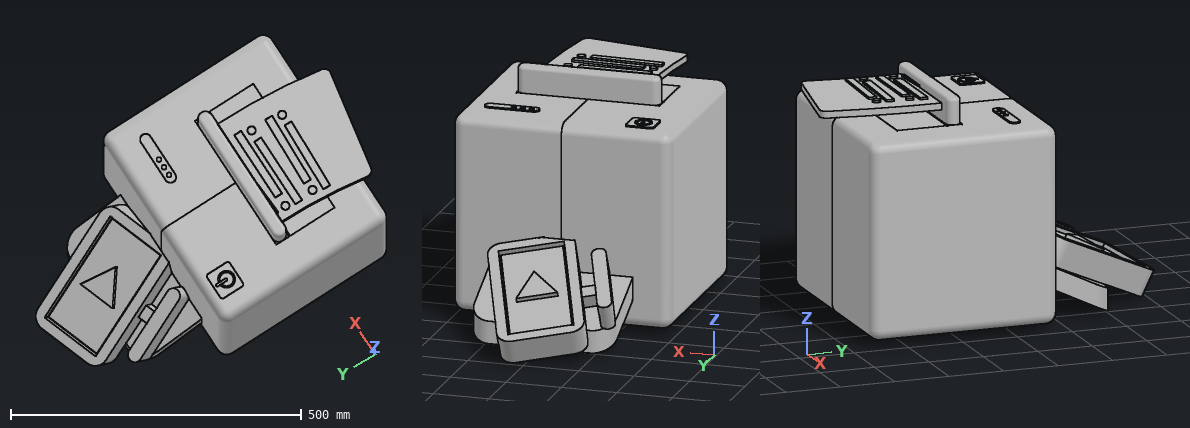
import cadquery as cq
import math

INCH = 25.4

HOUSING_WIDTH = 15.5 * INCH
HOUSING_DEPTH = 13.5 * INCH
HOUSING_HEIGHT = 14 * INCH
HOUSING_FILLET = 0.75 * INCH
REAR_Y = HOUSING_DEPTH / 2
TOP_Z = HOUSING_HEIGHT

PAD_HEIGHT = 2.5
SYMBOL_DEPTH = 1.2
POWER_PAD_SIZE = (50.2, 46.5)
POWER_PAD_CENTER = (-133.4, 127.0)
POWER_PAD_CORNER = 5.0
RING_OUTER_RADIUS = 14.8
RING_OFFSET_Y = -3.0
RING_INNER_RADIUS = 12.0
STEM_WIDTH = 4.6
STEM_BOTTOM = -1.5
STEM_TOP = 21.5
STEM_GAP = 2.0
LIGHT_PAD_LENGTH = 98.0
LIGHT_PAD_WIDTH = 19.5
LIGHT_PAD_CENTER = (108.3, 108.0)
LIGHT_RADIUS = 4.2
LIGHT_PITCH = 16.0
LIGHT_COUNT = 3
FIRST_LIGHT_X = 73.5

SLOT_WIDTH = 257.8
BAR_THICKNESS = 26.4
BAR_HEIGHT = 49.3
BAR_TOP_FILLET = 7.6
BAR_REAR_Y = 0.75 * INCH
BAR_FRONT_Y = BAR_REAR_Y - BAR_THICKNESS
INSERT_DEPTH = 0.5 * INCH

DECK_GAP = 1.9
DECK_REAR_Y = BAR_FRONT_Y - DECK_GAP
DECK_FRONT_Y = -100.5

PAPER_WIDTH = 8 * INCH
PAPER_LEFT_X = -104.7
PAPER_BEND_RADIUS = 1008.0
PAPER_BEND_ANGLE = 10.218
PAPER_THICKNESS = 12.2
PAPER_BOTTOM_Z = TOP_Z + 20.3
PAPER_CORNER = 0.5 * INCH
PRINT_HEIGHT = 3.6
LINE_LENGTH = 130.0
LINE_WIDTH = 13.8
BULLET_RADIUS = 7.1

PRINTED_ROWS = [
    ((1.0, -27.8), (-85.4, -27.8), 0.0),
    ((-27.5, -50.5), (56.9, -50.5), 0.0),
    ((-5.5, -84.7), (-87.6, -82.0), -2.0),
    ((-31.9, -107.4), (51.2, -109.4), -2.0),
]
HIDDEN_LINE_CORNER = (-88.5, -11.4)
HIDDEN_LINE_TILT = 3.0

SLOPE = 26.0
RAMP_LENGTH = 5 * INCH
RAMP_DROP = 41.0
RAMP_CORNER = 1.5 * INCH
RAMP_TOP_Z = 92.15

CARTRIDGE_X = 10.9
CARTRIDGE_DISTANCE = 100.7
CARTRIDGE_TURN = 20.0
BLOCK_WIDTH = 6 * INCH
BLOCK_LENGTH = 10 * INCH
BLOCK_THICKNESS = 2 * INCH
BLOCK_CORNER = 1 * INCH
RECESS_BORDER = 0.75 * INCH
RECESS_DEPTH = 0.6 * INCH
SCREEN_GAP = 3.1
SCREEN_THICKNESS = 0.3 * INCH
ARROW_SIDE = 72.0
ARROW_HEIGHT = 8.5
LEVER_WIDTH = 1 * INCH
LEVER_LENGTH = 6 * INCH
LINK_SIZE = 1 * INCH


def block_between(x_range, y_range, z_range):
    """Axis-aligned box given by its limits along each axis."""
    size = [high - low for low, high in (x_range, y_range, z_range)]
    corner = (x_range[0], y_range[0], z_range[0])
    return cq.Workplane("XY").box(*size, centered=False).translate(corner)


def sloped(shape):
    """Move a shape from the XY plane onto the ramp's top, which starts at the rear wall."""
    return shape.rotate((0, 0, 0), (1, 0, 0), -SLOPE).translate((0, REAR_Y, RAMP_TOP_Z))


def place_cartridge(flat_shape):
    """Move a shape from the block's own axes, centred on its underside, to its place on the ramp."""
    turned = flat_shape.rotate((0, 0, 0), (0, 0, 1), CARTRIDGE_TURN)
    return sloped(turned.translate((CARTRIDGE_X, CARTRIDGE_DISTANCE, 0)))


def make_plain_block():
    """Rounded block of the cartridge without its recess."""
    blank = cq.Workplane("XY").rect(BLOCK_WIDTH, BLOCK_LENGTH).extrude(BLOCK_THICKNESS)
    return blank.edges("|Z").fillet(BLOCK_CORNER)


def make_lever():
    """Round-ended lever beside the block and the square link that carries it."""
    lever_x = -(BLOCK_WIDTH / 2 + LINK_SIZE + LEVER_WIDTH / 2)
    lever_plan = cq.Workplane("XY").center(lever_x, 0).slot2D(LEVER_LENGTH, LEVER_WIDTH, 90)
    lever = lever_plan.extrude(BLOCK_THICKNESS)
    link = block_between(
        (lever_x, -BLOCK_WIDTH / 2),
        (-LINK_SIZE / 2, LINK_SIZE / 2),
        (0, LINK_SIZE),
    )
    return lever.union(link)


def make_screen():
    """Raised panel inside the block's recess, with an arrow that points towards the housing."""
    recess_floor = BLOCK_THICKNESS - RECESS_DEPTH
    inset = 2 * (RECESS_BORDER + SCREEN_GAP)
    panel = (
        cq.Workplane("XY")
        .workplane(offset=recess_floor)
        .rect(BLOCK_WIDTH - inset, BLOCK_LENGTH - inset)
        .extrude(SCREEN_THICKNESS)
    )
    arrow = (
        cq.Workplane("XY")
        .workplane(offset=recess_floor + SCREEN_THICKNESS)
        .polygon(3, 2 * ARROW_SIDE / math.sqrt(3))
        .extrude(ARROW_HEIGHT)
        .rotate((0, 0, 0), (0, 0, 1), -90)
    )
    return panel.union(arrow)


def make_cartridge():
    """Recessed block, screen panel, lever and link as one solid on the ramp."""
    recess_width = BLOCK_WIDTH - 2 * RECESS_BORDER
    recess_length = BLOCK_LENGTH - 2 * RECESS_BORDER
    block = make_plain_block().faces(">Z").workplane().rect(recess_width, recess_length).cutBlind(-RECESS_DEPTH)
    return place_cartridge(block.union(make_screen()).union(make_lever()))


def make_cartridge_seat():
    """Outer volume of the cartridge, which the housing's rear wall makes room for."""
    return place_cartridge(make_plain_block().union(make_lever()))


def make_ramp():
    """Sloping slab against the rear wall, with an upright end face rounded at both corners."""
    end_y = REAR_Y + RAMP_LENGTH
    fall = RAMP_LENGTH * math.tan(math.radians(SLOPE))
    profile = [
        (REAR_Y, RAMP_TOP_Z),
        (end_y, RAMP_TOP_Z - fall),
        (end_y, RAMP_TOP_Z - fall - RAMP_DROP),
        (REAR_Y, RAMP_TOP_Z - RAMP_DROP),
    ]
    ramp = cq.Workplane("YZ").polyline(profile).close().extrude(SLOT_WIDTH / 2, both=True)
    return ramp.edges("|Z and >Y").fillet(RAMP_CORNER)


def make_bar_base():
    """Rectangular base that sits flush in the housing top, across both halves."""
    half = SLOT_WIDTH / 2
    return block_between((-half, half), (BAR_FRONT_Y, BAR_REAR_Y), (TOP_Z - INSERT_DEPTH, TOP_Z))


def make_bar():
    """Round-ended bar on its flush base, with a rounded top edge."""
    bar = (
        cq.Workplane("XY")
        .workplane(offset=TOP_Z)
        .center(0, (BAR_REAR_Y + BAR_FRONT_Y) / 2)
        .slot2D(SLOT_WIDTH, BAR_THICKNESS)
        .extrude(BAR_HEIGHT)
        .faces(">Z")
        .edges()
        .fillet(BAR_TOP_FILLET)
    )
    return bar.union(make_bar_base())


def make_deck():
    """Plate that sits flush in the housing top in front of the bar."""
    half = SLOT_WIDTH / 2
    return block_between((-half, half), (DECK_FRONT_Y, DECK_REAR_Y), (TOP_Z - INSERT_DEPTH, TOP_Z))


def make_housing():
    """Whole housing with its pads and the recesses for the bar, the deck and the cartridge."""
    housing = (
        cq.Workplane("XY")
        .box(HOUSING_WIDTH, HOUSING_DEPTH, HOUSING_HEIGHT, centered=(True, True, False))
        .edges()
        .fillet(HOUSING_FILLET)
    )
    pads = [
        make_power_pad().translate((*POWER_PAD_CENTER, TOP_Z)),
        make_light_pad().translate((*LIGHT_PAD_CENTER, TOP_Z)),
    ]
    for pad in pads:
        housing = housing.union(pad)
    for seated in (make_bar_base(), make_deck(), make_cartridge_seat()):
        housing = housing.cut(seated)
    return housing


def make_power_pad():
    """Rounded pad with a sunk ring that a sunk stem breaks through; the ring is on the origin."""
    pad = cq.Workplane("XY").rect(*POWER_PAD_SIZE).extrude(PAD_HEIGHT).edges("|Z").fillet(POWER_PAD_CORNER)
    floor = cq.Workplane("XY").workplane(offset=PAD_HEIGHT - SYMBOL_DEPTH)
    ring = floor.circle(RING_OUTER_RADIUS).circle(RING_INNER_RADIUS).extrude(SYMBOL_DEPTH)
    gap_width = STEM_WIDTH + 2 * STEM_GAP
    gap = floor.center(0, RING_OUTER_RADIUS).rect(gap_width, RING_OUTER_RADIUS).extrude(SYMBOL_DEPTH)
    stem = (
        floor.center(0, (STEM_TOP + STEM_BOTTOM) / 2)
        .slot2D(STEM_TOP - STEM_BOTTOM, STEM_WIDTH, 90)
        .extrude(SYMBOL_DEPTH)
    )
    symbol = ring.cut(gap).union(stem)
    return pad.cut(symbol.translate((0, RING_OFFSET_Y, 0)))


def make_light_pad():
    """Round-ended pad with a row of sunk round lights."""
    pad = cq.Workplane("XY").slot2D(LIGHT_PAD_LENGTH, LIGHT_PAD_WIDTH).extrude(PAD_HEIGHT)
    first = FIRST_LIGHT_X - LIGHT_PAD_CENTER[0]
    places = [(first + i * LIGHT_PITCH, 0) for i in range(LIGHT_COUNT)]
    top = pad.faces(">Z").workplane(origin=(0, 0, 0))
    return top.pushPoints(places).circle(LIGHT_RADIUS).cutBlind(-SYMBOL_DEPTH)


def make_paper():
    """Bent sheet that starts at the bar's front face, with raised print on its top."""
    axis_x = PAPER_LEFT_X - PAPER_BEND_RADIUS
    outer_radius = PAPER_BEND_RADIUS + PAPER_WIDTH

    def on_bend(radius, share):
        angle = math.radians(PAPER_BEND_ANGLE * share)
        return (axis_x + radius * math.cos(angle), BAR_FRONT_Y - radius * math.sin(angle))

    sheet = (
        cq.Workplane("XY")
        .workplane(offset=PAPER_BOTTOM_Z)
        .moveTo(*on_bend(PAPER_BEND_RADIUS, 0))
        .lineTo(*on_bend(outer_radius, 0))
        .threePointArc(on_bend(outer_radius, 0.5), on_bend(outer_radius, 1))
        .lineTo(*on_bend(PAPER_BEND_RADIUS, 1))
        .threePointArc(on_bend(PAPER_BEND_RADIUS, 0.5), on_bend(PAPER_BEND_RADIUS, 0))
        .close()
        .extrude(PAPER_THICKNESS)
    )
    sheet = sheet.edges("|Z and (not >Y)").fillet(PAPER_CORNER)

    surface = cq.Workplane("XY").workplane(offset=PAPER_BOTTOM_Z + PAPER_THICKNESS)
    line = surface.rect(LINE_LENGTH, LINE_WIDTH).extrude(PRINT_HEIGHT)
    bullet = surface.circle(BULLET_RADIUS).extrude(PRINT_HEIGHT)
    for line_center, bullet_center, tilt in PRINTED_ROWS:
        tilted = line.rotate((0, 0, 0), (0, 0, 1), tilt)
        sheet = sheet.union(tilted.translate((*line_center, 0)))
        sheet = sheet.union(bullet.translate((*bullet_center, 0)))

    hidden = (
        surface.rect(LINE_LENGTH, LINE_WIDTH, centered=False)
        .extrude(PRINT_HEIGHT)
        .rotate((0, 0, 0), (0, 0, 1), HIDDEN_LINE_TILT)
        .translate((*HIDDEN_LINE_CORNER, 0))
    )
    return sheet.union(hidden.cut(make_bar()))


def half_housing(housing, side):
    """Half of the housing: side is -1 for the left half and 1 for the right half."""
    x_range = sorted((0, side * HOUSING_WIDTH))
    half = block_between(x_range, (-HOUSING_DEPTH, HOUSING_DEPTH), (-HOUSING_HEIGHT, 2 * HOUSING_HEIGHT))
    return housing.intersect(half)


housing = make_housing()
result = cq.Compound.makeCompound(
    [
        half_housing(housing, -1).val(),
        half_housing(housing, 1).val(),
        make_bar().val(),
        make_deck().val(),
        make_paper().val(),
        make_ramp().val(),
        make_cartridge().val(),
    ]
)